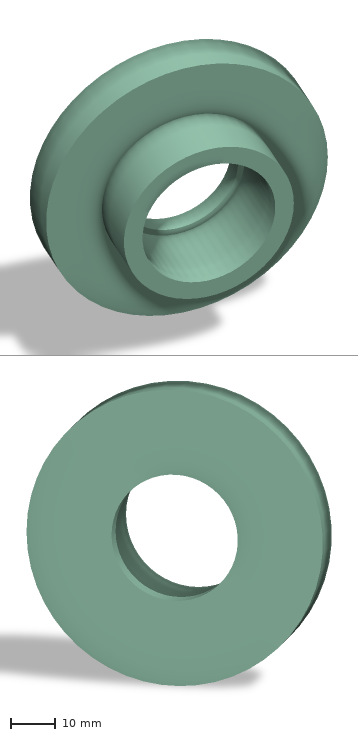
import cadquery as cq

flange_diameter = 68.0
flange_thickness = 10.0
hub_diameter = 41.0
total_length = 23.5

lip_diameter = 29.0
lip_length = 4.5
bore_diameter = 32.0


def cylinder(diameter, start, end):
    """Cylinder on the X axis between two X positions."""
    return cq.Workplane("YZ", origin=(start, 0, 0)).circle(diameter / 2).extrude(end - start)


flange = cylinder(flange_diameter, 0, flange_thickness)
hub = cylinder(hub_diameter, 0, total_length)
lip_hole = cylinder(lip_diameter, 0, total_length)
wide_bore = cylinder(bore_diameter, lip_length, total_length)

result = flange.union(hub).cut(lip_hole).cut(wide_bore)